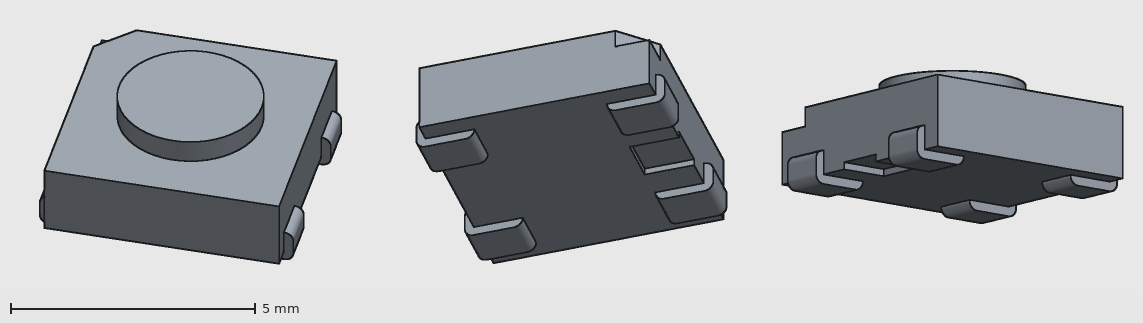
import cadquery as cq

TURN_ANGLE = 20
BODY_SIDE = 4.945
BODY_HEIGHT = 1.5
HALF_SIDE = BODY_SIDE / 2

BUTTON_DIAMETER = 3.0
BUTTON_HEIGHT = 0.5

CORNER_LEG = 0.73
CORNER_DEPTH = 0.4

RECESS_WIDTH = 1.0
RECESS_LENGTH = 1.06
RECESS_DEPTH = 0.15

LEAD_THICKNESS = 0.2
LEAD_WIDTH = 0.9
LEAD_PITCH = 3.215
LEAD_RISE = 0.5
FOOT_LENGTH = 1.25
LEAD_ROUND = 0.19


def make_body():
    """Square block with its underside at Z = 0."""
    return cq.Workplane("XY").rect(BODY_SIDE, BODY_SIDE).extrude(BODY_HEIGHT)


def make_button():
    """Flat round button standing on the block."""
    return (
        cq.Workplane("XY", origin=(0, 0, BODY_HEIGHT))
        .circle(BUTTON_DIAMETER / 2)
        .extrude(BUTTON_HEIGHT)
    )


def make_corner_step():
    """Triangular cutter for the marked top corner."""
    return (
        cq.Workplane("XY", origin=(-HALF_SIDE, HALF_SIDE, BODY_HEIGHT))
        .lineTo(CORNER_LEG, 0)
        .lineTo(0, -CORNER_LEG)
        .close()
        .extrude(-CORNER_DEPTH)
    )


def make_recess():
    """Rectangular cutter open at the underside and at the -X side."""
    return (
        cq.Workplane("XY", origin=(-HALF_SIDE + RECESS_LENGTH / 2, 0, 0))
        .rect(RECESS_LENGTH, RECESS_WIDTH)
        .extrude(RECESS_DEPTH)
    )


def make_lead(center_y):
    """L-shaped terminal wrapping the lower edge of the -X side."""
    outer_x = -HALF_SIDE - LEAD_THICKNESS
    inner_x = outer_x + FOOT_LENGTH
    return (
        cq.Workplane("XZ", origin=(0, center_y + LEAD_WIDTH / 2, 0))
        .moveTo(outer_x, -LEAD_THICKNESS)
        .lineTo(inner_x, -LEAD_THICKNESS)
        .lineTo(inner_x, 0)
        .lineTo(-HALF_SIDE, 0)
        .lineTo(-HALF_SIDE, LEAD_RISE)
        .lineTo(outer_x, LEAD_RISE)
        .close()
        .extrude(LEAD_WIDTH)
        .edges("|Y and (<X or <Z)")
        .fillet(LEAD_ROUND)
    )


part = make_body().union(make_button()).cut(make_corner_step()).cut(make_recess())
for center_y in (-LEAD_PITCH / 2, LEAD_PITCH / 2):
    lead = make_lead(center_y)
    part = part.union(lead).union(lead.mirror("YZ"))

result = part.rotate((0, 0, 0), (0, 0, 1), TURN_ANGLE)